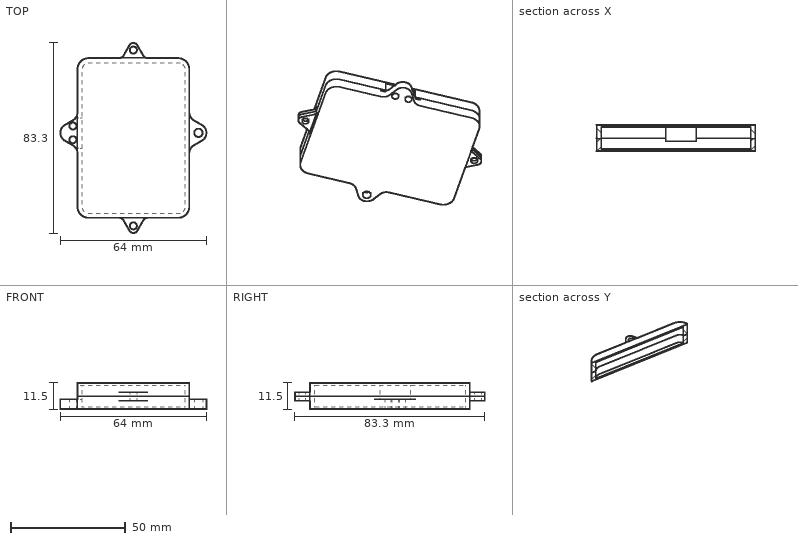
import cadquery as cq
import math

overall_x = 64.0
overall_y = 83.3
case_width = 49.0
case_length = 70.0
case_height = 11.5
split_z = 5.6
corner_radius = 5.0
wall = 2.0
skin = 1.0

flank_angle = math.radians(30)

side_offset = 2.25
side_lug_top = 4.3
side_lug_radius = 4.0
side_lug_reach = (overall_x - case_width) / 2
pair_hole_x = -26.5
pair_hole_spacing = 6.0
pair_hole_diameter = 3.0
single_hole_x = 28.5
single_hole_diameter = 3.6

end_lug_bottom = 3.6
end_lug_top = 7.4
end_lug_radius = 2.0
end_lug_reach = (overall_y - case_length) / 2
end_hole_y = 38.5
end_hole_diameter = 3.0

port_width = 13.3
port_bottom = side_lug_top
port_top = case_height - skin


def rounded_block(width, length, radius, bottom, top):
    """Upright block centred on the Z axis, with rounded vertical edges."""
    block = cq.Workplane("XY").workplane(offset=bottom).rect(width, length).extrude(top - bottom)
    return block.edges("|Z").fillet(radius)


def lug(radius, reach, bottom, top):
    """Lug that stands on the line Y = 0 and points along +Y."""
    across = radius * math.cos(flank_angle)
    along = radius * (1 - math.sin(flank_angle))
    flank_rise = reach - 2 * along
    nose_half = across
    root_half = nose_half + flank_rise * math.tan(flank_angle)
    foot_half = root_half + across

    half_turn = (math.pi / 2 - flank_angle) / 2
    blend_half = foot_half - radius * math.sin(half_turn)
    blend_rise = radius * (1 - math.cos(half_turn))

    outline = (
        cq.Workplane("XY")
        .workplane(offset=bottom)
        .moveTo(-foot_half, 0)
        .threePointArc((-blend_half, blend_rise), (-root_half, along))
        .lineTo(-nose_half, reach - along)
        .threePointArc((0, reach), (nose_half, reach - along))
        .lineTo(root_half, along)
        .threePointArc((blend_half, blend_rise), (foot_half, 0))
        .close()
    )
    return outline.extrude(top - bottom)


def side_lug(direction):
    """Side lug on the +X wall (direction 1) or the -X wall (direction -1)."""
    body = lug(side_lug_radius, side_lug_reach, 0, side_lug_top)
    body = body.rotate((0, 0, 0), (0, 0, 1), -90 * direction)
    return body.translate((direction * case_width / 2, side_offset, 0))


def end_lug(direction, bottom, top):
    """End lug on the +Y wall (direction 1) or the -Y wall (direction -1)."""
    body = lug(end_lug_radius, end_lug_reach, bottom, top)
    body = body.translate((0, case_length / 2, 0))
    return body if direction > 0 else body.mirror("XZ")


def through_holes(diameter, centres):
    """Vertical cutters over the full height of the case."""
    return cq.Workplane("XY").pushPoints(centres).circle(diameter / 2).extrude(case_height)


def shell(bottom, top, lug_bottom, lug_top):
    """Case walls and end lugs between two heights, with the cavity and port cut away."""
    body = rounded_block(case_width, case_length, corner_radius, bottom, top)
    for direction in (1, -1):
        body = body.union(end_lug(direction, lug_bottom, lug_top))
    body = body.cut(
        rounded_block(
            case_width - 2 * wall, case_length - 2 * wall, corner_radius - wall, skin, case_height - skin
        )
    )
    port = cq.Workplane("XY").box(wall, port_width, port_top - port_bottom)
    port = port.translate(((wall - case_width) / 2, side_offset, (port_bottom + port_top) / 2))
    end_hole_centres = [(0, end_hole_y), (0, -end_hole_y)]
    return body.cut(port).cut(through_holes(end_hole_diameter, end_hole_centres))


def make_base():
    """Lower shell with both side lugs."""
    body = shell(0, split_z, end_lug_bottom, split_z)
    for direction in (1, -1):
        body = body.union(side_lug(direction))
    pair_centres = [(pair_hole_x, side_offset + side * pair_hole_spacing / 2) for side in (1, -1)]
    body = body.cut(through_holes(pair_hole_diameter, pair_centres))
    return body.cut(through_holes(single_hole_diameter, [(single_hole_x, side_offset)]))


def make_lid():
    """Upper shell, closed by the roof."""
    return shell(split_z, case_height, split_z, end_lug_top)


base = make_base()
lid = make_lid()

result = cq.Compound.makeCompound([base.val(), lid.val()])